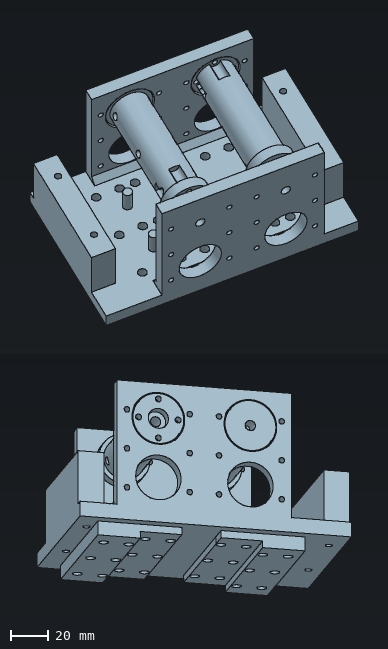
import cadquery as cq


base_length_x = 94.0
base_width_y = 150.0
base_thickness = 8.2
base_hole_diameter = 5.1
base_hole_pitch_x = 28.5
base_hole_xs = [base_length_x / 2 + step * base_hole_pitch_x for step in (-1, 0, 1)]
base_hole_pitch_y = 23.1
base_pair_offsets = [0.0, 14.0]

shaft_ys = [-19.0, 31.8]
shaft_z = 58.2
shaft_sides = [-1, 1]
shaft_turns = [0, 180]

plate_thickness = 7.4
plate_top_z = 78.2
plate_margin_y = 22.8
gusset_size = 3.8
window_diameter = 25.0
window_z = 25.0
flange_bore_diameter = 29.1
screw_hole_diameter = 3.0
screw_hole_pitch_y = 34.6
screw_hole_lowest_z = 18.2
screw_hole_pitch_z = 21.9
screw_hole_zs = [screw_hole_lowest_z + row * screw_hole_pitch_z for row in range(3)]

block_start_x = 4.2
block_length_x = 71.7
block_width_y = 14.2
block_top_z = 38.0
block_hole_diameter = 3.8
block_hole_xs = [17.8, 62.2]
block_hole_end_distance = 8.1

pad_start_x = 6.3
pad_length_x = 81.6
pad_height = 7.8
pad_step_height = 4.0
pad_outer_offset = 31.8
pad_step_offset = 8.4
pad_inner_offset = -14.5

peg_diameter = 5.4
peg_height = 12.2
peg_xs = [31.0, 63.0]
peg_y = -32.0

shaft_length = 80.1
tube_diameter = 23.0
flange_diameter = 28.0
flange_thickness = 6.5
center_hole_diameter = 5.5
counterbore_diameter = 11.1
counterbore_depth = 6.0
slot_end_distance = 18.3
slot_diameter = 6.3
flange_hole_diameter = 3.2
bolt_circle_diameter = 21.9
cross_hole_diameter = 4.2
cross_hole_spacing = 28.5
cross_hole_z_offset = 3.5


def box(x_start, x_end, y_start, y_end, z_start, z_end):
    size = (x_end - x_start, y_end - y_start, z_end - z_start)
    return cq.Workplane("XY").box(*size, centered=False).translate((x_start, y_start, z_start))


def rod_along_x(diameter, x_start, x_end, points):
    """Round rods along X, one at each (y, z) point."""
    return (
        cq.Workplane("YZ", origin=(x_start, 0, 0))
        .pushPoints(points)
        .circle(diameter / 2)
        .extrude(x_end - x_start)
    )


def rod_along_z(diameter, z_start, z_end, points):
    """Round rods along Z, one at each (x, y) point."""
    return (
        cq.Workplane("XY", origin=(0, 0, z_start))
        .pushPoints(points)
        .circle(diameter / 2)
        .extrude(z_end - z_start)
    )


def side_plates():
    """Two upright plates, each with a 45 degree gusset along its inner foot."""
    plate_y_start = min(shaft_ys) - plate_margin_y
    plate_y_end = max(shaft_ys) + plate_margin_y
    left_plate = (
        cq.Workplane("XZ", origin=(0, plate_y_end, 0))
        .moveTo(0, 0)
        .lineTo(0, plate_top_z)
        .lineTo(plate_thickness, plate_top_z)
        .lineTo(plate_thickness, base_thickness + gusset_size)
        .lineTo(plate_thickness + gusset_size, base_thickness)
        .lineTo(plate_thickness + gusset_size, 0)
        .close()
        .extrude(plate_y_end - plate_y_start)
    )
    right_plate = left_plate.mirror("YZ").translate((base_length_x, 0, 0))
    return left_plate.union(right_plate)


def end_block(side):
    """Block on top of the base, flush with one end of it; `side` is its direction along Y."""
    end_y = side * base_width_y / 2
    inner_y = end_y - side * block_width_y
    block_end_x = block_start_x + block_length_x
    return box(
        block_start_x, block_end_x, min(end_y, inner_y), max(end_y, inner_y), 0, block_top_z
    )


def stepped_pad(shaft_y, side):
    """Pad under the base, deeper on the side of the nearest end block."""
    outer_y = shaft_y + side * pad_outer_offset
    step_y = shaft_y + side * pad_step_offset
    inner_y = shaft_y + side * pad_inner_offset
    return (
        cq.Workplane("YZ", origin=(pad_start_x, 0, 0))
        .moveTo(outer_y, 0)
        .lineTo(outer_y, -pad_height)
        .lineTo(step_y, -pad_height)
        .lineTo(step_y, -pad_step_height)
        .lineTo(inner_y, -pad_step_height)
        .lineTo(inner_y, 0)
        .close()
        .extrude(pad_length_x)
    )


def vertical_holes():
    """Through holes in the base and its pads, and in the end blocks."""
    base_points = []
    block_points = []
    for shaft_y, side in zip(shaft_ys, shaft_sides):
        block_hole_y = side * (base_width_y / 2 - block_hole_end_distance)
        block_points += [(x, block_hole_y) for x in block_hole_xs]
        for offset in base_pair_offsets:
            pair_y = shaft_y + side * offset
            row_ys = [pair_y - base_hole_pitch_y / 2, pair_y + base_hole_pitch_y / 2]
            base_points += [(x, y) for x in base_hole_xs for y in row_ys]
    base_holes = rod_along_z(base_hole_diameter, -pad_height, base_thickness, base_points)
    block_holes = rod_along_z(block_hole_diameter, -pad_height, block_top_z, block_points)
    return base_holes.union(block_holes)


def side_plate_holes():
    """Windows and screw holes in both plates, flange bores on the left, shaft holes on the right."""
    window_points = [(y, window_z) for y in shaft_ys]
    shaft_points = [(y, shaft_z) for y in shaft_ys]
    screw_points = [
        (shaft_y + side * screw_hole_pitch_y / 2, z)
        for shaft_y in shaft_ys
        for side in (-1, 1)
        for z in screw_hole_zs
    ]
    right_plate_x = base_length_x - plate_thickness
    return (
        rod_along_x(window_diameter, 0, base_length_x, window_points)
        .union(rod_along_x(screw_hole_diameter, 0, base_length_x, screw_points))
        .union(rod_along_x(flange_bore_diameter, 0, plate_thickness, shaft_points))
        .union(rod_along_x(center_hole_diameter, right_plate_x, base_length_x, shaft_points))
    )


def make_frame():
    half_width = base_width_y / 2
    frame = box(0, base_length_x, -half_width, half_width, 0, base_thickness)
    frame = frame.union(side_plates())
    for shaft_y, side in zip(shaft_ys, shaft_sides):
        frame = frame.union(end_block(side)).union(stepped_pad(shaft_y, side))
    frame = frame.cut(vertical_holes()).cut(side_plate_holes())
    peg_points = [(x, peg_y) for x in peg_xs]
    return frame.union(rod_along_z(peg_diameter, 0, base_thickness + peg_height, peg_points))


def make_shaft():
    """Shaft along X from the origin, with its drilled and slotted end at X = shaft_length."""
    axis = [(0, 0)]
    bolt_radius = bolt_circle_diameter / 2
    bolt_points = [(bolt_radius, 0), (0, bolt_radius), (-bolt_radius, 0), (0, -bolt_radius)]
    drilled_flange_x = shaft_length - flange_thickness

    shaft = (
        rod_along_x(tube_diameter, 0, shaft_length, axis)
        .union(rod_along_x(flange_diameter, 0, flange_thickness, axis))
        .union(rod_along_x(flange_diameter, drilled_flange_x, shaft_length, axis))
    )

    shaft = shaft.cut(rod_along_x(center_hole_diameter, 0, shaft_length, axis))
    counterbore_x = shaft_length - counterbore_depth
    shaft = shaft.cut(rod_along_x(counterbore_diameter, counterbore_x, shaft_length, axis))

    slot_start_x = shaft_length - slot_end_distance
    shaft = shaft.cut(rod_along_x(slot_diameter, slot_start_x, drilled_flange_x, bolt_points))
    shaft = shaft.cut(
        rod_along_x(flange_hole_diameter, drilled_flange_x, shaft_length, bolt_points)
    )

    middle_x = shaft_length / 2
    cross_hole_points = [
        (middle_x + step * cross_hole_spacing, cross_hole_z_offset) for step in (-1, 0, 1)
    ]
    cross_holes = (
        cq.Workplane("XZ")
        .pushPoints(cross_hole_points)
        .circle(cross_hole_diameter / 2)
        .extrude(tube_diameter / 2, both=True)
    )
    return shaft.cut(cross_holes)


def placed_shaft(shaft_y, turn):
    """A shaft on its axis in the frame, turned end for end about its middle by `turn` degrees."""
    middle_x = shaft_length / 2
    turned = make_shaft().rotate((middle_x, 0, 0), (middle_x, 1, 0), turn)
    return turned.translate((0, shaft_y, shaft_z))


frame = make_frame()
shafts = [placed_shaft(shaft_y, turn) for shaft_y, turn in zip(shaft_ys, shaft_turns)]

result = cq.Compound.makeCompound([frame.val(), *[shaft.val() for shaft in shafts]])